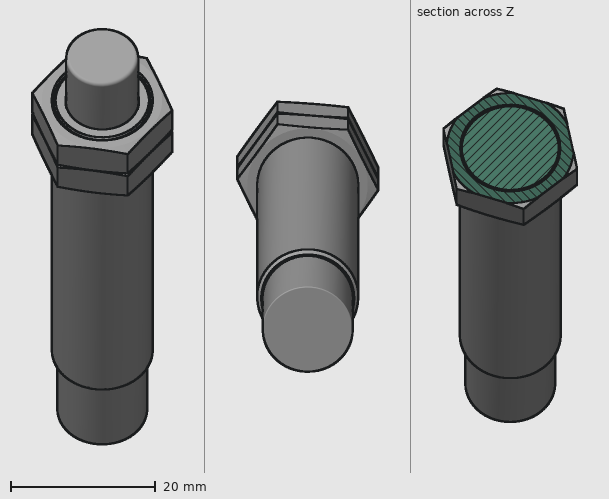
import cadquery as cq
import math

total_height = 80.0
rod_length = 10.0
barrel_top = total_height - rod_length

barrel_diameter = 14.0
barrel_end_diameter = 12.9
barrel_chamfer = (barrel_diameter - barrel_end_diameter) / 2
barrel_bottom = 13.0
neck_diameter = 13.4
neck_chamfer = (neck_diameter - barrel_end_diameter) / 2

tail_diameter = 12.5
tail_rounding = 0.2

rod_diameter = 10.0
rod_rounding = 0.5
groove_diameter = 10.2
groove_depth = 0.5

nut_count = 2
nut_width = 17.0
nut_stack_height = 10.0
nut_height = nut_stack_height / nut_count
nut_corner_diameter = nut_width / math.cos(math.radians(30))
nut_face_diameter = 16.6
nut_corner_drop = 0.3
nut_countersink = (barrel_diameter - neck_diameter) / 2
nut_stack_bottom = barrel_top - nut_stack_height


def make_housing():
    """Tail, barrel, neck and rod turned as one solid."""
    tail = cq.Workplane("XY").circle(tail_diameter / 2).extrude(barrel_bottom)
    tail = tail.faces("<Z").fillet(tail_rounding)
    barrel = (
        cq.Workplane("XY", origin=(0, 0, barrel_bottom))
        .circle(barrel_diameter / 2)
        .extrude(nut_stack_bottom - barrel_bottom)
        .faces("<Z")
        .chamfer(barrel_chamfer)
    )
    neck = (
        cq.Workplane("XY", origin=(0, 0, nut_stack_bottom))
        .circle(neck_diameter / 2)
        .extrude(nut_stack_height)
        .faces(">Z")
        .chamfer(neck_chamfer)
    )
    groove = (
        cq.Workplane("XY", origin=(0, 0, barrel_top - groove_depth))
        .circle(groove_diameter / 2)
        .extrude(groove_depth)
    )
    rod = (
        cq.Workplane("XY", origin=(0, 0, barrel_top - groove_depth))
        .circle(rod_diameter / 2)
        .extrude(rod_length + groove_depth)
        .faces(">Z")
        .fillet(rod_rounding)
    )
    return tail.union(barrel).union(neck).cut(groove).union(rod)


def make_nut(bottom):
    """Hexagon nut with conically trimmed corners; two flats face along X."""
    corner_radius = nut_corner_diameter / 2
    face_radius = nut_face_diameter / 2
    hexagon = (
        cq.Workplane("XY")
        .polygon(6, nut_corner_diameter)
        .extrude(nut_height)
        .rotate((0, 0, 0), (0, 0, 1), 30)
    )
    corner_envelope = (
        cq.Workplane("XZ")
        .moveTo(0, 0)
        .lineTo(face_radius, 0)
        .lineTo(corner_radius, nut_corner_drop)
        .lineTo(corner_radius, nut_height - nut_corner_drop)
        .lineTo(face_radius, nut_height)
        .lineTo(0, nut_height)
        .close()
        .revolve(360, (0, 0, 0), (0, 1, 0))
    )
    bore = cq.Workplane("XY").circle(neck_diameter / 2).extrude(nut_height)
    nut = hexagon.intersect(corner_envelope).cut(bore)
    nut = nut.edges(cq.selectors.RadiusNthSelector(0)).chamfer(nut_countersink)
    return nut.translate((0, 0, bottom))



housing = make_housing()
nuts = [make_nut(nut_stack_bottom + i * nut_height) for i in range(nut_count)]

result = cq.Compound.makeCompound([housing.val(), *[nut.val() for nut in nuts]])